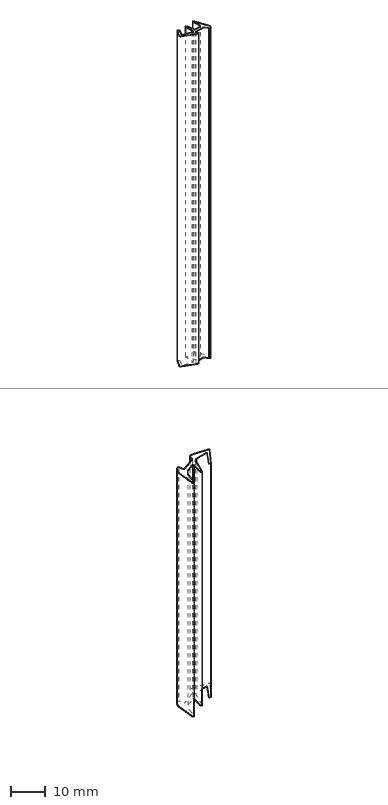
import cadquery as cq

length = 100.0

stem_left = 0.9
stem_right = 2.1

hollow_start_y = 9.6
hollow_mid = (0.6, 10.8)
fin_root = (-0.2, 11.5)
fin_tip_low = (-3.2, 13.1)
fin_tip_top = (-2.8, 13.5)
fin_tip_radius = 0.25
head_corner = (2.2, 12.4)
head_shoulder = (3.5, 11.8)
head_nose = (4.1, 10.6)
head_under_y = 10.3
head_under_end_x = 3.8
head_fillet = 0.3

middle_top_y = 7.5
middle_top_root_x = 0.4
middle_tip_top = (-2.7, 8.8)
middle_tip_low = (-2.8, 8.3)
middle_low_root = (1.2, 5.6)
middle_tip_radius = 0.15

barb_x = 3.3
barb_root_y = 5.7
barb_top_y = 5.3
barb_low_y = 4.4
barb_fillet = 0.3
foot_vertex = (0, -0.2)
foot_tip_radius = 0.3
foot_inner_top = (1.2, 4.9)
valley = (-0.1, 1.4)
valley_radius = 0.1
lip_tip_outer = (-3.3, 4.3)
lip_tip_inner = (-2.9, 4.9)
lip_tip_radius = 0.25


def draw_head(sketch):
    """Trace the upper fin and head, from the stem's left side to its right side."""
    return (
        sketch.threePointArc(hollow_mid, fin_root)
        .lineTo(*fin_tip_low)
        .lineTo(*fin_tip_top)
        .lineTo(*head_corner)
        .threePointArc(head_shoulder, head_nose)
        .lineTo(head_under_end_x, head_under_y)
        .lineTo(stem_right, head_under_y)
    )


def draw_foot(sketch):
    """Trace the barb, pointed foot and lip, ending at the middle fin's root."""
    return (
        sketch.lineTo(stem_right, barb_root_y)
        .lineTo(barb_x, barb_top_y)
        .lineTo(barb_x, barb_low_y)
        .lineTo(*foot_vertex)
        .lineTo(*lip_tip_outer)
        .lineTo(*lip_tip_inner)
        .lineTo(*valley)
        .lineTo(*foot_inner_top)
        .lineTo(*middle_low_root)
    )


def draw_middle_fin(sketch):
    """Trace the middle fin back to the stem's left side."""
    return (
        sketch.lineTo(*middle_tip_low)
        .lineTo(*middle_tip_top)
        .lineTo(middle_top_root_x, middle_top_y)
        .lineTo(stem_left, middle_top_y)
    )


def round_corner(strip, corner, radius):
    """Round the long edge that runs through one profile corner."""
    x, y = corner
    edge = cq.NearestToPointSelector((x, y, length / 2))
    return strip.edges("|Z").edges(edge).fillet(radius)


profile = cq.Workplane("XY").moveTo(stem_left, hollow_start_y)
profile = draw_head(profile)
profile = draw_foot(profile)
profile = draw_middle_fin(profile).close()
result = profile.extrude(length)

rounded_corners = [
    (fin_tip_low, fin_tip_radius),
    (fin_tip_top, fin_tip_radius),
    ((stem_right, head_under_y), head_fillet),
    (middle_tip_low, middle_tip_radius),
    (middle_tip_top, middle_tip_radius),
    ((barb_x, barb_low_y), barb_fillet),
    (foot_vertex, foot_tip_radius),
    (valley, valley_radius),
    (lip_tip_outer, lip_tip_radius),
    (lip_tip_inner, lip_tip_radius),
]
for corner, radius in rounded_corners:
    result = round_corner(result, corner, radius)